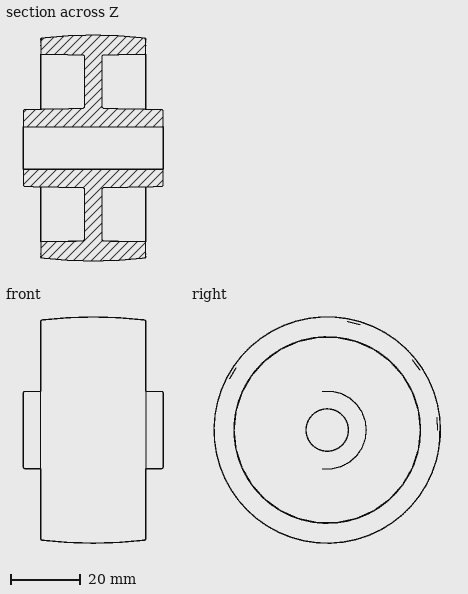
import cadquery as cq

crown_radius = 32.4
tread_edge_radius = 31.5
tread_half_width = 15.0
tread_edge_fillet = 0.5

hub_half_length = 20.0
hub_end_radius = 11.1
hub_base_radius = 11.4
hub_end_fillet = 0.5
bore_radius = 6.0

web_half_thickness = 2.5
recess_mouth_radius = 26.7
recess_floor_radius = 26.55
hub_root_fillet = 0.6
rim_root_fillet = 0.5

match_tolerance = 0.005


def wheel_section():
    """Section above the axis: X is axial, Y is radial."""
    return (
        cq.Workplane("XY")
        .moveTo(-hub_half_length, bore_radius)
        .lineTo(hub_half_length, bore_radius)
        .lineTo(hub_half_length, hub_end_radius)
        .lineTo(web_half_thickness, hub_base_radius)
        .lineTo(web_half_thickness, recess_floor_radius)
        .lineTo(tread_half_width, recess_mouth_radius)
        .lineTo(tread_half_width, tread_edge_radius)
        .threePointArc((0, crown_radius), (-tread_half_width, tread_edge_radius))
        .lineTo(-tread_half_width, recess_mouth_radius)
        .lineTo(-web_half_thickness, recess_floor_radius)
        .lineTo(-web_half_thickness, hub_base_radius)
        .lineTo(-hub_half_length, hub_end_radius)
        .close()
    )


def round_rings(body, axial, radius, fillet):
    """Round the matching circular edges on both sides of the web."""
    rings = [
        edge
        for edge in body.edges("%CIRCLE").vals()
        if abs(abs(edge.Center().x) - axial) < match_tolerance
        and abs(edge.radius() - radius) < match_tolerance
    ]
    return body.newObject(rings).fillet(fillet)


result = wheel_section().revolve(360, (0, 0, 0), (1, 0, 0))
result = round_rings(result, tread_half_width, tread_edge_radius, tread_edge_fillet)
result = round_rings(result, hub_half_length, hub_end_radius, hub_end_fillet)
result = round_rings(result, web_half_thickness, hub_base_radius, hub_root_fillet)
result = round_rings(result, web_half_thickness, recess_floor_radius, rim_root_fillet)